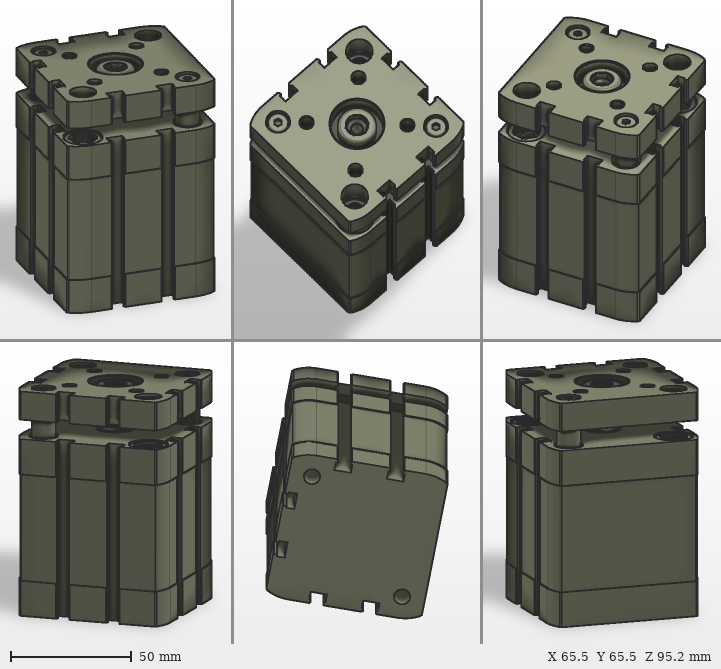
import cadquery as cq
import math

WIDTH = 65.5
TOTAL_HEIGHT = 95.2
HALF = WIDTH / 2

YOKE_HEIGHT = 12.0
GAP = 8.2
LOWER_COVER_HEIGHT = 14.85
UPPER_COVER_HEIGHT = 15.0
YOKE_BOTTOM = TOTAL_HEIGHT - YOKE_HEIGHT
HOUSING_TOP = YOKE_BOTTOM - GAP

BARREL_INSET = 0.4
CURVE_START = 23.0
CURVE_RADIUS = 18.0
CURVE_END = 32.1
FLAT_END = 29.6

SLOT_OFFSET = 11.0
SLOT_OPENING = 5.3
SLOT_WIDTH = 6.95
SLOT_DEPTH = 5.0
SLOT_LIP = 1.6
SLOT_CHAMFER = 0.5

CORNER = 23.1
ROD_CORNERS = [(-CORNER, -CORNER), (CORNER, CORNER)]
MOUNT_CORNERS = [(-CORNER, CORNER), (CORNER, -CORNER)]

GUIDE_DIA = 10.0
BUSH_DIA = 12.0
BUSH_RECESS = 0.2

PISTON_DIA = 16.0
FLATS_ACROSS = 12.9
FLAT_BOTTOM = 1.6
RAMP_DROP = 0.95

GUIDE_BORE_DEPTH = 5.7
GUIDE_HEAD_DIA = 8.5
GUIDE_HEAD_SETBACK = 0.7
GUIDE_HEAD_FILLET = 0.5
GUIDE_HEX = 3.0
GUIDE_HEX_DEPTH = 1.9
CORNER_HEX_ANGLE = 15

RECESS_DIA = 22.0
RECESS_DEPTH = 8.1
RECESS_CHAMFER = 0.5
HEAD_DIA = 16.0
HEAD_SETBACK = 1.2
HEAD_FILLET = 0.95
HEAD_HEX = 8.5
HEAD_HEX_DEPTH = 3.0
HEAD_HEX_RIM = 9.4
DRILL_DIA = 5.0
DRILL_DEPTH = 0.95
DRILL_POINT_ANGLE = 120

ACCESS_DIA = 11.0
YOKE_HOLE = 14.8
PIN_DIA = 6.0
THREAD_DIA = 4.95

MOUNT_BORE_DIA = 16.4
MOUNT_BORE_DEPTH = 5.7
MOUNT_SETBACK = 0.3
MOUNT_HEAD_DIA = 15.5
MOUNT_HEAD_FILLET = 0.7
MOUNT_HEX = 11.0
MOUNT_HEX_DEPTH = 4.95
MOUNT_HEX_CORNER_DIA = 12.0
MOUNT_SINK_DIA = 8.5
MOUNT_SINK_DEPTH = 0.5
MOUNT_HOLE_DIA = 6.7


def cylinder(dia, z_low, z_high, spot=(0, 0)):
    return cq.Workplane("XY", origin=(*spot, z_low)).circle(dia / 2).extrude(z_high - z_low)


def cone(dia_low, dia_high, z_low, z_high, spot=(0, 0)):
    solid = cq.Solid.makeCone(dia_low / 2, dia_high / 2, z_high - z_low, cq.Vector(*spot, z_low))
    return cq.Workplane(solid)


def hexagon(across_flats, z_low, z_high, spot=(0, 0), angle=0):
    across_corners = across_flats / math.cos(math.pi / 6)
    prism = cq.Workplane("XY").polygon(6, across_corners).extrude(z_high - z_low)
    return prism.rotate((0, 0, 0), (0, 0, 1), angle).translate((*spot, z_low))


def outline(inset=0.0):
    """Square with flat front and back and sides that curve in towards the corners."""
    side = HALF - inset
    radius = CURVE_RADIUS - inset
    centre_x = HALF - CURVE_RADIUS

    def on_curve(y):
        return centre_x + math.sqrt(radius**2 - (y - CURVE_START) ** 2)

    end_y = CURVE_END - inset
    mid_y = (CURVE_START + end_y) / 2
    end_x = on_curve(end_y)
    mid_x = on_curve(mid_y)
    return (
        cq.Workplane("XY")
        .moveTo(-FLAT_END, -side)
        .lineTo(FLAT_END, -side)
        .lineTo(end_x, -end_y)
        .threePointArc((mid_x, -mid_y), (side, -CURVE_START))
        .lineTo(side, CURVE_START)
        .threePointArc((mid_x, mid_y), (end_x, end_y))
        .lineTo(FLAT_END, side)
        .lineTo(-FLAT_END, side)
        .lineTo(-end_x, end_y)
        .threePointArc((-mid_x, mid_y), (-side, CURVE_START))
        .lineTo(-side, -CURVE_START)
        .threePointArc((-mid_x, -mid_y), (-end_x, -end_y))
        .close()
    )


def block(z_low, z_high, inset=0.0):
    return outline(inset).extrude(z_high - z_low).translate((0, 0, z_low))


def t_slots():
    """Two T-slots in each of the -X, -Y and +X sides."""
    slot = (
        cq.Workplane("XY")
        .moveTo(-SLOT_OPENING / 2 - SLOT_CHAMFER, -HALF)
        .lineTo(-SLOT_OPENING / 2, -HALF + SLOT_CHAMFER)
        .lineTo(-SLOT_OPENING / 2, -HALF + SLOT_LIP)
        .lineTo(-SLOT_WIDTH / 2, -HALF + SLOT_LIP)
        .lineTo(-SLOT_WIDTH / 2, -HALF + SLOT_DEPTH)
        .lineTo(SLOT_WIDTH / 2, -HALF + SLOT_DEPTH)
        .lineTo(SLOT_WIDTH / 2, -HALF + SLOT_LIP)
        .lineTo(SLOT_OPENING / 2, -HALF + SLOT_LIP)
        .lineTo(SLOT_OPENING / 2, -HALF + SLOT_CHAMFER)
        .lineTo(SLOT_OPENING / 2 + SLOT_CHAMFER, -HALF)
        .close()
        .extrude(TOTAL_HEIGHT)
    )
    pair = slot.translate((-SLOT_OFFSET, 0, 0)).union(slot.translate((SLOT_OFFSET, 0, 0)))
    slots = pair
    for angle in (-90, 90):
        slots = slots.union(pair.rotate((0, 0, 0), (0, 0, 1), angle))
    return slots


def mounting_screw(spot):
    """Screw head with a round-cornered hexagon socket, countersunk at the socket floor."""
    top = HOUSING_TOP - MOUNT_SETBACK
    socket_floor = HOUSING_TOP - MOUNT_HEX_DEPTH
    socket = hexagon(MOUNT_HEX, socket_floor, top, spot, CORNER_HEX_ANGLE).intersect(
        cylinder(MOUNT_HEX_CORNER_DIA, socket_floor, top, spot)
    )
    return (
        cylinder(MOUNT_HEAD_DIA, HOUSING_TOP - MOUNT_BORE_DEPTH, top, spot)
        .faces(">Z")
        .edges()
        .fillet(MOUNT_HEAD_FILLET)
        .cut(socket)
        .cut(cone(MOUNT_HOLE_DIA, MOUNT_SINK_DIA, socket_floor - MOUNT_SINK_DEPTH, socket_floor, spot))
    )


def make_housing():
    """Barrel between two slightly larger end covers, with bores for the three rods."""
    cover_bottom = HOUSING_TOP - UPPER_COVER_HEIGHT
    housing = (
        block(0, LOWER_COVER_HEIGHT)
        .union(block(LOWER_COVER_HEIGHT, cover_bottom, BARREL_INSET))
        .union(block(cover_bottom, HOUSING_TOP))
        .cut(t_slots())
        .cut(cylinder(PISTON_DIA, cover_bottom, HOUSING_TOP))
    )
    for spot in ROD_CORNERS:
        housing = housing.cut(cylinder(GUIDE_DIA, cover_bottom, HOUSING_TOP, spot))
        housing = housing.cut(cylinder(BUSH_DIA, HOUSING_TOP - BUSH_RECESS, HOUSING_TOP, spot))
    for spot in MOUNT_CORNERS:
        housing = (
            housing.cut(cylinder(MOUNT_BORE_DIA, HOUSING_TOP - MOUNT_BORE_DEPTH, HOUSING_TOP, spot))
            .union(mounting_screw(spot))
            .cut(cylinder(MOUNT_HOLE_DIA, 0, HOUSING_TOP, spot))
        )
    return housing


def piston_rod():
    """Round rod whose two wrench flats run out through sloping ramps near the housing."""
    rod = cylinder(PISTON_DIA, HOUSING_TOP - UPPER_COVER_HEIGHT, YOKE_BOTTOM)
    flat_y = FLATS_ACROSS / 2
    ramp_top = HOUSING_TOP + FLAT_BOTTOM
    flat_depth = PISTON_DIA / 2 - flat_y
    flat_cut = (
        cq.Workplane("YZ")
        .moveTo(flat_y, YOKE_BOTTOM)
        .lineTo(flat_y, ramp_top)
        .lineTo(flat_y + flat_depth, ramp_top - RAMP_DROP)
        .lineTo(flat_y + flat_depth, YOKE_BOTTOM)
        .close()
        .extrude(PISTON_DIA / 2, both=True)
    )
    return rod.cut(flat_cut).cut(flat_cut.mirror("XZ"))


def drill_point_height(dia_change):
    """Height of a drill-point cone over which the diameter changes by the given amount."""
    return dia_change / 2 / math.tan(math.radians(DRILL_POINT_ANGLE / 2))


def central_head():
    """Rounded screw head with a hexagon socket that ends in two conical steps."""
    top = TOTAL_HEIGHT - HEAD_SETBACK
    socket_floor = top - HEAD_HEX_DEPTH
    rim_depth = (HEAD_HEX_RIM - HEAD_HEX) / 2
    drill_top = socket_floor - drill_point_height(HEAD_HEX - DRILL_DIA)
    drill_bottom = drill_top - DRILL_DEPTH
    drill_tip = drill_bottom - drill_point_height(DRILL_DIA)
    return (
        cylinder(HEAD_DIA, TOTAL_HEIGHT - RECESS_DEPTH, top)
        .faces(">Z")
        .edges()
        .fillet(HEAD_FILLET)
        .cut(cone(HEAD_HEX, HEAD_HEX_RIM, top - rim_depth, top))
        .cut(hexagon(HEAD_HEX, socket_floor, top))
        .cut(cone(DRILL_DIA, HEAD_HEX, drill_top, socket_floor))
        .cut(cylinder(DRILL_DIA, drill_bottom, drill_top))
        .cut(cone(0, DRILL_DIA, drill_tip, drill_bottom))
    )


def guide_screw(spot):
    """Socket-head screw standing in the counterbore over a guide rod."""
    top = TOTAL_HEIGHT - GUIDE_HEAD_SETBACK
    return (
        cylinder(GUIDE_HEAD_DIA, TOTAL_HEIGHT - GUIDE_BORE_DEPTH, top, spot)
        .faces(">Z")
        .edges()
        .fillet(GUIDE_HEAD_FILLET)
        .cut(hexagon(GUIDE_HEX, top - GUIDE_HEX_DEPTH, top, spot, CORNER_HEX_ANGLE))
    )


def make_yoke():
    """Moving body: yoke plate, piston rod, two guide rods and the screw heads in the plate."""
    recess_rim_dia = RECESS_DIA + 2 * RECESS_CHAMFER
    yoke = (
        block(YOKE_BOTTOM, TOTAL_HEIGHT)
        .cut(t_slots())
        .cut(cylinder(RECESS_DIA, TOTAL_HEIGHT - RECESS_DEPTH, TOTAL_HEIGHT))
        .cut(cone(RECESS_DIA, recess_rim_dia, TOTAL_HEIGHT - RECESS_CHAMFER, TOTAL_HEIGHT))
        .union(central_head())
        .union(piston_rod())
    )
    for spot in MOUNT_CORNERS:
        yoke = yoke.cut(cylinder(ACCESS_DIA, YOKE_BOTTOM, TOTAL_HEIGHT, spot))
    sink_bottom = TOTAL_HEIGHT - (PIN_DIA - THREAD_DIA) / 2
    for side in (-1, 1):
        pin_spot = (-side * YOKE_HOLE, side * YOKE_HOLE)
        thread_spot = (side * YOKE_HOLE, side * YOKE_HOLE)
        yoke = (
            yoke.cut(cylinder(PIN_DIA, YOKE_BOTTOM, TOTAL_HEIGHT, pin_spot))
            .cut(cylinder(THREAD_DIA, YOKE_BOTTOM, TOTAL_HEIGHT, thread_spot))
            .cut(cone(THREAD_DIA, PIN_DIA, sink_bottom, TOTAL_HEIGHT, thread_spot))
        )
    for spot in ROD_CORNERS:
        yoke = (
            yoke.union(cylinder(GUIDE_DIA, HOUSING_TOP - UPPER_COVER_HEIGHT, YOKE_BOTTOM, spot))
            .cut(cylinder(GUIDE_DIA, TOTAL_HEIGHT - GUIDE_BORE_DEPTH, TOTAL_HEIGHT, spot))
            .union(guide_screw(spot))
        )
    return yoke


housing = make_housing()
yoke = make_yoke()
result = cq.Compound.makeCompound([housing.val(), yoke.val()])